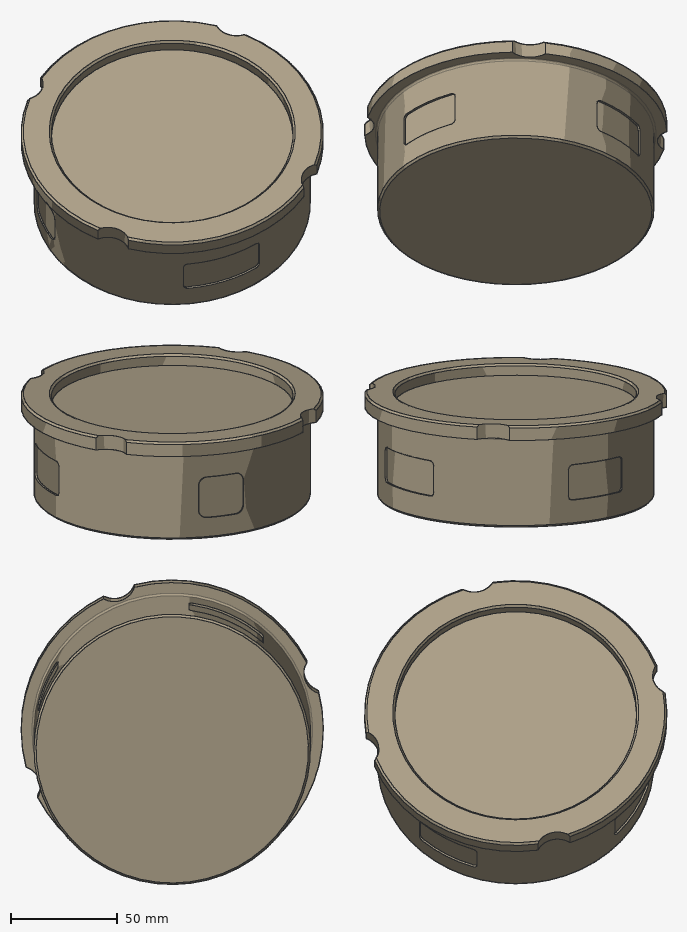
import cadquery as cq
total_height = 50.0
flange_diameter = 141.0
flange_thickness = 6.9
body_diameter = 129.0
edge_break = 1.0

recess_diameter = 112.8
recess_depth = 5.5

scallop_count = 4
scallop_radius = 10.0
scallop_center_distance = 76.4

pocket_center_height = 20.3
label_height = 16.9
label_corner_radius = 2.1
label_width = 31.0
long_label_width = 38.0
label_depth = 1.0
badge_width = 22.3
badge_height = 20.0
badge_corner_radius = 4.0
badge_depth = 0.7

body_radius = body_diameter / 2
body_height = total_height - flange_thickness


def make_body():
    """Plug body with a broken bottom edge and a fillet under the flange."""
    body = cq.Workplane("XY").circle(body_radius).extrude(body_height)
    body = body.faces("<Z").chamfer(edge_break)
    flange = (
        cq.Workplane("XY")
        .workplane(offset=body_height)
        .circle(flange_diameter / 2)
        .extrude(flange_thickness)
        .faces(">Z")
        .chamfer(edge_break)
    )
    inner_corner = cq.selectors.RadiusNthSelector(0)
    return body.union(flange).faces("<Z[-2]").edges(inner_corner).fillet(edge_break)


def make_recess():
    """Round recess with a chamfered rim."""
    recess = (
        cq.Workplane("XY")
        .workplane(offset=total_height - recess_depth)
        .circle(recess_diameter / 2)
        .extrude(recess_depth)
    )
    rim = cq.Solid.makeCone(
        recess_diameter / 2,
        recess_diameter / 2 + edge_break,
        edge_break,
        pnt=cq.Vector(0, 0, total_height - edge_break),
    )
    return recess.union(cq.Workplane(rim))


def make_scallops():
    """Cylinders that bite into the flange rim on the diagonals."""
    return (
        cq.Workplane("XY")
        .workplane(offset=body_height)
        .polarArray(scallop_center_distance, 45, 360, scallop_count)
        .circle(scallop_radius)
        .extrude(flange_thickness)
    )


def make_pocket(width, height, corner_radius, depth, angle):
    """Rounded pocket of even depth in the body wall, turned by angle from +X."""
    block = (
        cq.Workplane("YZ")
        .center(0, pocket_center_height)
        .rect(width, height)
        .extrude(flange_diameter / 2)
        .edges("|X")
        .fillet(corner_radius)
    )
    core = cq.Workplane("XY").circle(body_radius - depth).extrude(body_height)
    return block.cut(core).rotate((0, 0, 0), (0, 0, 1), angle)


result = make_body().cut(make_recess()).cut(make_scallops())

for width, angle in ((long_label_width, 0), (label_width, 90), (label_width, 180)):
    result = result.cut(make_pocket(width, label_height, label_corner_radius, label_depth, angle))
result = result.cut(make_pocket(badge_width, badge_height, badge_corner_radius, badge_depth, 270))